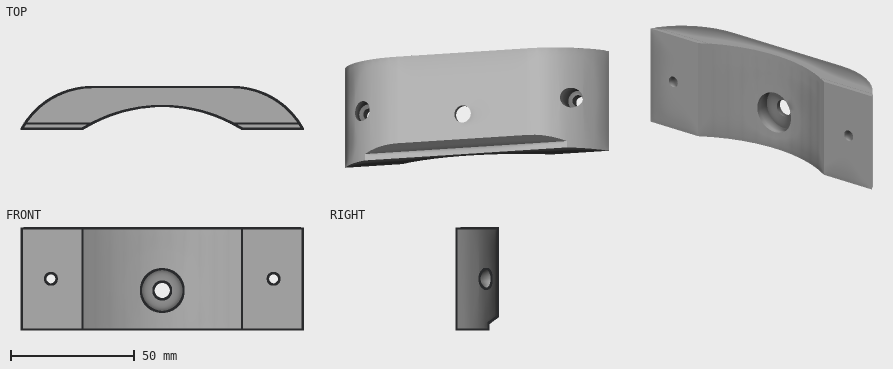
import cadquery as cq
import math

length = 113.4
depth = 16.9
height = 40.9

hollow_half_width = 32.2
hollow_rise = 9.2
back_radius = 32.9

sheet_thickness = 0.1
sheet_front_y = 2.0

center_hole_z = 15.8
center_hole_diameter = 7.0
center_recess_diameter = 17.2
center_recess_floor_y = 14.9

pad_hole_spacing = 89.8
pad_hole_z = height / 2
pad_hole_diameter = 4.5
pad_recess_diameter = 8.0
pad_recess_floor_y = 4.5

relief_wall_y = 13.0
relief_wall_height = 2.6
relief_height = 5.4

body_height = height - sheet_thickness


def plan_prism(base_z, prism_height):
    """Extrude the plan outline upward from base_z."""
    half_length = length / 2
    back_center_y = depth - back_radius
    back_half_width = half_length - math.sqrt(back_radius**2 - back_center_y**2)
    mid_angle = (math.asin(-back_center_y / back_radius) + math.pi / 2) / 2
    mid_x = back_half_width + back_radius * math.cos(mid_angle)
    mid_y = back_center_y + back_radius * math.sin(mid_angle)
    return (
        cq.Workplane("XY", origin=(0, 0, base_z))
        .moveTo(-half_length, 0)
        .lineTo(-hollow_half_width, 0)
        .threePointArc((0, hollow_rise), (hollow_half_width, 0))
        .lineTo(half_length, 0)
        .threePointArc((mid_x, mid_y), (back_half_width, depth))
        .lineTo(-back_half_width, depth)
        .threePointArc((-mid_x, mid_y), (-half_length, 0))
        .close()
        .extrude(prism_height)
    )


def y_cylinder(x, z, diameter, start_y, end_y):
    """Cylinder along +Y between two Y positions."""
    return cq.Workplane(
        cq.Solid.makeCylinder(
            diameter / 2, end_y - start_y, cq.Vector(x, start_y, z), cq.Vector(0, 1, 0)
        )
    )


def back_relief():
    """Cutter for the lower back edge, along the whole length."""
    return (
        cq.Workplane("YZ")
        .moveTo(relief_wall_y, 0)
        .lineTo(relief_wall_y, relief_wall_height)
        .lineTo(depth, relief_height)
        .lineTo(depth, 0)
        .close()
        .extrude(length / 2, both=True)
    )


def make_bracket():
    """Main body with its three counterbored holes and back relief."""
    bracket = plan_prism(0, body_height).cut(back_relief())
    bracket = bracket.cut(y_cylinder(0, center_hole_z, center_hole_diameter, 0, depth))
    bracket = bracket.cut(
        y_cylinder(0, center_hole_z, center_recess_diameter, 0, center_recess_floor_y)
    )
    for x in (-pad_hole_spacing / 2, pad_hole_spacing / 2):
        bracket = bracket.cut(y_cylinder(x, pad_hole_z, pad_hole_diameter, 0, depth))
        bracket = bracket.cut(
            y_cylinder(x, pad_hole_z, pad_recess_diameter, pad_recess_floor_y, depth)
        )
    return bracket


def make_top_sheet():
    """Sheet resting on the bracket, flush with its back and hollow."""
    front_strip = cq.Workplane("XY", origin=(0, 0, body_height)).box(
        length, 2 * sheet_front_y, sheet_thickness, centered=(True, True, False)
    )
    return plan_prism(body_height, sheet_thickness).cut(front_strip)


bracket = make_bracket()
top_sheet = make_top_sheet()

result = cq.Compound.makeCompound([bracket.val(), top_sheet.val()])